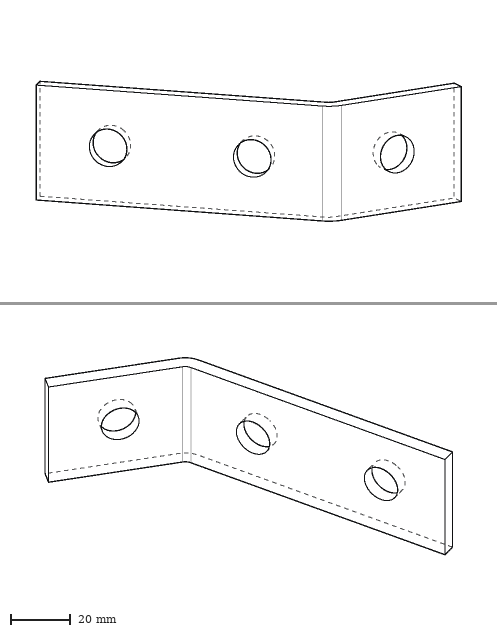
import cadquery as cq
import math

overall_length = 138.2
width = 40.0
thickness = 5.0
bend_angle = 45.0
outer_bend_radius = 8.5
base_length = 99.3
hole_diameter = 13.0
base_hole_positions = (25.0, 75.0)
arm_hole_from_bend = 21.5

angle = math.radians(bend_angle)
cos_bend = math.cos(angle)
sin_bend = math.sin(angle)
inner_bend_radius = outer_bend_radius - thickness
arm_length = (overall_length - base_length - outer_bend_radius * sin_bend) / cos_bend


def bend_point(radius, turn):
    """Point at a given radius about the bend centre, after turning by an angle."""
    x = base_length + radius * math.sin(turn)
    y = outer_bend_radius - radius * math.cos(turn)
    return x, y


def along_arm(point, distance):
    """Move a point along the direction of the angled arm."""
    return point[0] + distance * cos_bend, point[1] + distance * sin_bend


outer_bend_end = bend_point(outer_bend_radius, angle)
inner_bend_end = bend_point(inner_bend_radius, angle)

strip = (
    cq.Workplane("XY")
    .moveTo(0, 0)
    .lineTo(base_length, 0)
    .threePointArc(bend_point(outer_bend_radius, angle / 2), outer_bend_end)
    .lineTo(*along_arm(outer_bend_end, arm_length))
    .lineTo(*along_arm(inner_bend_end, arm_length))
    .lineTo(*inner_bend_end)
    .threePointArc(bend_point(inner_bend_radius, angle / 2), (base_length, thickness))
    .lineTo(0, thickness)
    .close()
    .extrude(width)
)


def through_hole(outer_point, normal):
    """Cylinder through the sheet, from a point on its outer face along the normal."""
    start = cq.Vector(outer_point[0], outer_point[1], width / 2)
    solid = cq.Solid.makeCylinder(hole_diameter / 2, thickness, start, cq.Vector(*normal))
    return cq.Workplane(solid)


result = strip
for position in base_hole_positions:
    result = result.cut(through_hole((position, 0), (0, 1, 0)))

arm_hole_point = along_arm(outer_bend_end, arm_hole_from_bend)
result = result.cut(through_hole(arm_hole_point, (-sin_bend, cos_bend, 0)))